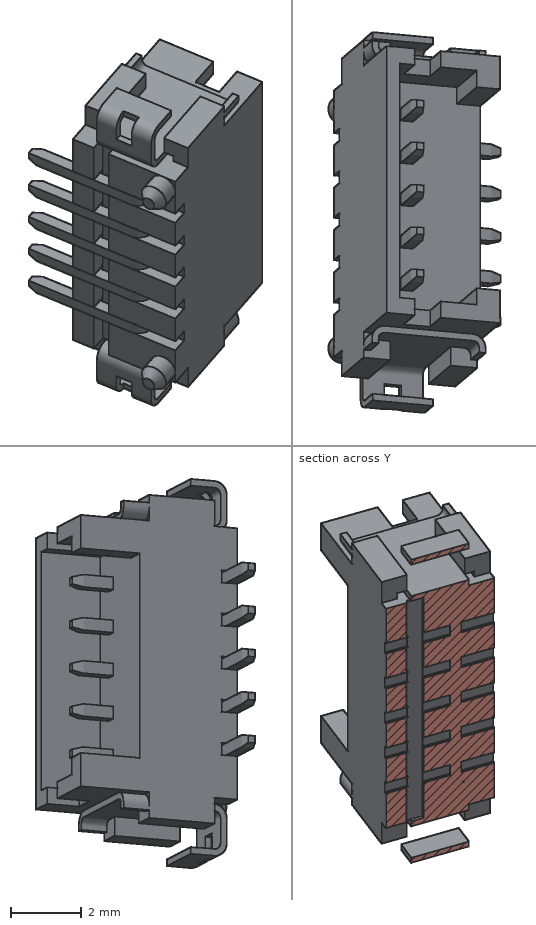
import cadquery as cq


width = 3.4
depth = 4.8
half_height = 3.95

ear_width = 0.8
ear_start = 0.7
ear_end = 2.7
ear_top = 4.7

cavity_floor = 2.99
cavity_half_height = 3.47
cavity_left = 0.7
cavity_right = width - 0.4
window_half_height = 2.98
notch_floor = 3.82
notch_left = 1.78
notch_width = 0.78

groove_left = 0.7
groove_width = 0.49
groove_depth = 0.5
pin_slot_depth = 0.48

pin_count = 5
pin_pitch = 1.25
pin_width = 0.36
pin_thickness = 0.35
pin_tip_size = 0.21
pin_tip_length = 0.3
pin_reach = 1.5
pin_back = 2.38
pin_top = 4.21
pin_bend_radius = 0.49
contact_offset = 0.005

peg_radius = 0.4
peg_tip_radius = 0.2
peg_length = 0.81
peg_tip_length = 0.29

clip_top = 5.45
sheet = 0.2
bend_radius = 2 * sheet
clip_arm_end = 1.1
clip_plate_end = 3.49
clip_slot_width = 0.5
clip_slot_start = 4.65
plate_start = (ear_start + ear_end) / 2
plate_side = 0.49
plate_corner_radius = 0.2
flange_top = 4.47


def block(x, y, z):
    """Box between the (low, high) limits given for each axis."""
    size = [high - low for low, high in (x, y, z)]
    return cq.Workplane("XY").box(*size, centered=False).translate((x[0], y[0], z[0]))


def both_ends(shape):
    """A feature of the +Z end together with its mirror image at the -Z end."""
    return shape.union(shape.mirror("XY"))


def tapered_tip(plane):
    """Pyramid frustum growing along the normal of the plane, narrowing to a square end."""
    return (
        plane.rect(pin_thickness, pin_width)
        .workplane(offset=pin_tip_length)
        .rect(pin_tip_size, pin_tip_size)
        .loft(ruled=True)
    )


def make_ears():
    y = (ear_start, ear_end)
    z = (half_height, ear_top)
    left = block((0, ear_width), y, z)
    right = block((width - ear_width, width), y, z)
    plate_slot = block((plate_side, width - plate_side), y, (half_height, half_height + sheet))
    return both_ends(left.union(right).cut(plate_slot))


def make_cavity():
    full_height = (-half_height, half_height)
    cavity = block(
        (cavity_left, cavity_right),
        (cavity_floor, depth),
        (-cavity_half_height, cavity_half_height),
    )
    window = block((0, cavity_left), (cavity_floor, depth), (-window_half_height, window_half_height))
    notch = block((notch_left, notch_left + notch_width), (notch_floor, depth), full_height)
    return cavity.union(window).union(notch)


def make_housing():
    full_height = (-half_height, half_height)
    groove = block((groove_left, groove_left + groove_width), (0, groove_depth), full_height)
    body = block((0, width), (0, depth), full_height)
    return body.cut(make_cavity()).cut(groove).union(make_ears())


def make_pin_slot():
    return block((0, width), (0, pin_slot_depth), (-pin_width / 2, pin_width / 2))


def make_pin():
    front = -contact_offset
    tail_start = -pin_reach + pin_tip_length
    contact_end = pin_top - pin_tip_length
    shank = (
        cq.Workplane("XY")
        .moveTo(tail_start, front)
        .lineTo(pin_back - pin_bend_radius, front)
        .radiusArc((pin_back, front + pin_bend_radius), -pin_bend_radius)
        .lineTo(pin_back, contact_end)
        .lineTo(pin_back - pin_thickness, contact_end)
        .lineTo(pin_back - pin_thickness, front + pin_bend_radius)
        .radiusArc((pin_back - pin_bend_radius, front + pin_thickness), pin_bend_radius - pin_thickness)
        .lineTo(tail_start, front + pin_thickness)
        .close()
        .extrude(pin_width / 2, both=True)
    )
    middle = pin_thickness / 2
    tail_end = cq.Plane((tail_start, front + middle, 0), xDir=(0, 1, 0), normal=(-1, 0, 0))
    contact_top = cq.Plane((pin_back - middle, contact_end, 0), xDir=(1, 0, 0), normal=(0, 1, 0))
    tail_tip = tapered_tip(cq.Workplane(tail_end))
    contact_tip = tapered_tip(cq.Workplane(contact_top))
    return shank.union(tail_tip).union(contact_tip)


def make_pegs():
    centre_x = width - peg_radius
    centre_z = half_height - peg_radius
    peg = (
        cq.Workplane("XY")
        .moveTo(0, 0)
        .lineTo(peg_radius, 0)
        .lineTo(peg_radius, -peg_length + peg_tip_length)
        .lineTo(peg_tip_radius, -peg_length)
        .lineTo(0, -peg_length)
        .close()
        .revolve(360, (0, 0), (0, 1))
    )
    return both_ends(peg.translate((centre_x, 0, centre_z)))


def make_clip_hook():
    """Sheet strip between the ears: down to the mounting face, outward and back in a U."""
    front = -contact_offset
    inner = bend_radius - sheet
    low = half_height
    hook = (
        cq.Workplane("YZ", origin=(ear_width, 0, 0))
        .moveTo(ear_end, low)
        .lineTo(front + bend_radius, low)
        .radiusArc((front, low + bend_radius), bend_radius)
        .lineTo(front, clip_top - bend_radius)
        .radiusArc((front + bend_radius, clip_top), bend_radius)
        .lineTo(clip_arm_end, clip_top)
        .lineTo(clip_arm_end, clip_top - sheet)
        .lineTo(front + bend_radius, clip_top - sheet)
        .radiusArc((front + sheet, clip_top - bend_radius), -inner)
        .lineTo(front + sheet, low + bend_radius)
        .radiusArc((front + bend_radius, low + sheet), -inner)
        .lineTo(ear_end, low + sheet)
        .close()
        .extrude(width - 2 * ear_width)
    )
    slot = block(
        ((width - clip_slot_width) / 2, (width + clip_slot_width) / 2),
        (front, front + bend_radius),
        (clip_slot_start, clip_top),
    )
    return hook.cut(slot)


def make_clip_plate():
    """Flat part of the clip, lying on the housing with its edges held in the ears."""
    plate = block(
        (plate_side, width - plate_side),
        (plate_start, clip_plate_end),
        (half_height, half_height + sheet),
    )
    return plate.edges("|Z and <Y").fillet(plate_corner_radius)


def make_clip_flanges():
    """Tray section behind the ears, with both edges of the plate bent outward."""
    inner = bend_radius - sheet
    low = half_height
    return (
        cq.Workplane("XZ", origin=(0, clip_plate_end, 0))
        .moveTo(0, flange_top)
        .lineTo(0, low + bend_radius)
        .radiusArc((bend_radius, low), -bend_radius)
        .lineTo(width - bend_radius, low)
        .radiusArc((width, low + bend_radius), -bend_radius)
        .lineTo(width, flange_top)
        .lineTo(width - sheet, flange_top)
        .lineTo(width - sheet, low + bend_radius)
        .radiusArc((width - bend_radius, low + sheet), inner)
        .lineTo(bend_radius, low + sheet)
        .radiusArc((sheet, low + bend_radius), inner)
        .lineTo(sheet, flange_top)
        .close()
        .extrude(clip_plate_end - ear_end)
    )


def make_clips():
    clip = make_clip_plate().union(make_clip_hook()).union(make_clip_flanges())
    return both_ends(clip)


result = make_housing().union(make_pegs()).union(make_clips())
for index in range(pin_count):
    pin_z = (index - (pin_count - 1) / 2) * pin_pitch
    result = result.cut(make_pin_slot().translate((0, 0, pin_z)))
    result = result.union(make_pin().translate((0, 0, pin_z)))